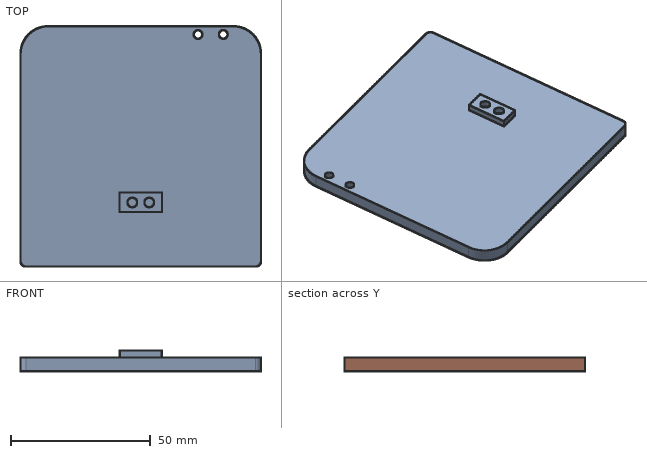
import cadquery as cq

plate_side = 86.0
plate_thickness = 5.0
back_corner_radius = 10.0
front_corner_radius = 2.0

edge_hole_diameter = 3.0
edge_hole_inset = 3.0
edge_hole_positions_x = (20.5, 29.5)

total_height = 7.5
block_length = 15.05
block_width = 7.0
block_center_y = -20.0
block_hole_diameter = 3.4
block_hole_spacing = 6.0

block_height = total_height - plate_thickness


def make_plate():
    """Square plate with large back corners and small front corners."""
    plate = cq.Workplane("XY").rect(plate_side, plate_side).extrude(plate_thickness)
    plate = plate.edges("|Z and >Y").fillet(back_corner_radius)
    plate = plate.edges("|Z and <Y").fillet(front_corner_radius)
    hole_y = plate_side / 2 - edge_hole_inset
    hole_centers = [(x, hole_y) for x in edge_hole_positions_x]
    holes = (
        cq.Workplane("XY")
        .pushPoints(hole_centers)
        .circle(edge_hole_diameter / 2)
        .extrude(plate_thickness)
    )
    return plate.cut(holes)


def make_block():
    """Block whose two holes run through it and stop at the plate's top face."""
    return (
        cq.Workplane("XY", origin=(0, block_center_y, plate_thickness))
        .rect(block_length, block_width)
        .rarray(block_hole_spacing, 0.9, 2, 1)
        .circle(block_hole_diameter / 2)
        .extrude(block_height)
    )


result = make_plate().union(make_block())